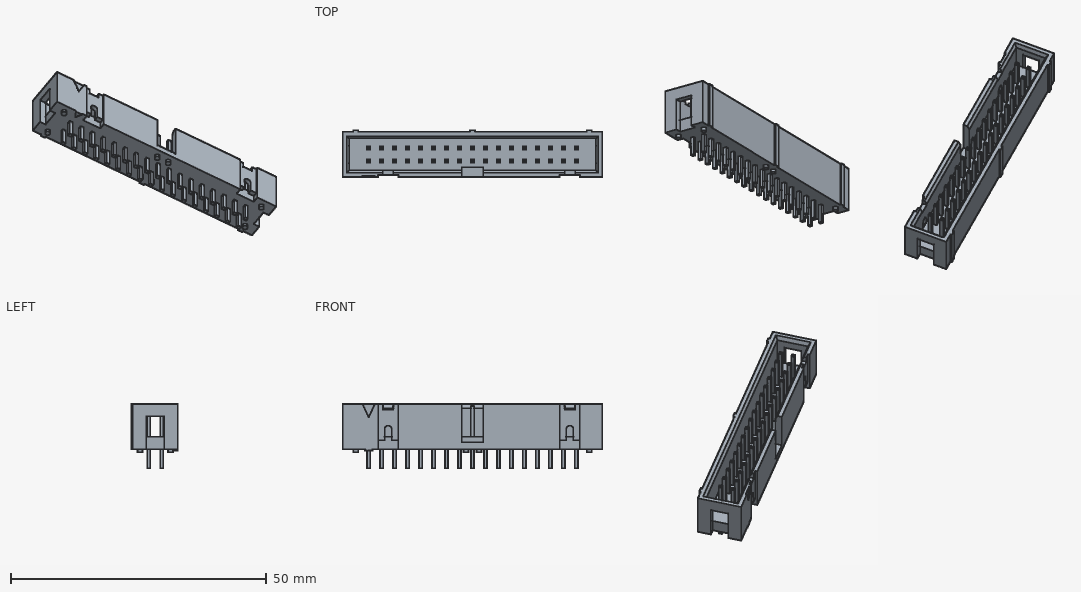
import cadquery as cq

housing_length = 50.8
housing_width = 8.9
housing_height = 8.9
half_length = housing_length / 2
half_width = housing_width / 2

end_wall = 1.25
side_wall = 1.3
floor_height = 2.5
mouth_lead_in = 0.45
mouth_depth = 0.8
cavity_length = housing_length - 2 * end_wall
cavity_width = housing_width - 2 * side_wall

pitch = 2.55
pins_per_row = 17
pin_size = 0.65
pin_top = 8.7
pin_bottom = -3.75
pin_tip_chamfer = 0.25
first_pin_x = -pitch * (pins_per_row - 1) / 2
last_pin_x = -first_pin_x

end_window_width = 3.5
end_window_top = 6.45

key_width = 4.15
key_floor = 1.4
key_depth = 1.95

recess_centers = (first_pin_x + 1.5 * pitch, last_pin_x - pitch / 2)
recess_width = 3.95
recess_depth = 0.4
latch_notch_width = 2.1
latch_notch_depth = 1.1
latch_foot_height = 1.75
arch_width = 1.4
arch_top = 4.6

rib_width = 1.0
rib_depth = 0.3
rib_centers = (first_pin_x - pitch, 0, last_pin_x + pitch)

peg_diameter = 1.0
peg_height = 0.6
peg_x = (first_pin_x - pitch, -pitch / 2, pitch / 2, last_pin_x + pitch)
peg_y = 3.0

front_mark_width = 2.45
front_mark_height = 2.65
front_mark_depth = 0.25
bottom_mark_width = 1.5
bottom_mark_length = 1.3
bottom_mark_height = 0.25


def block(x_range, y_range, z_range):
    """Box spanning the given (low, high) limits on each axis."""
    lows, highs = zip(x_range, y_range, z_range)
    sizes = [high - low for low, high in zip(lows, highs)]
    return cq.Workplane("XY").box(*sizes, centered=False).translate(lows)


def centered_span(center, width):
    return (center - width / 2, center + width / 2)


def make_shell():
    """Open box with a lead-in around the cavity mouth."""
    shell = block(
        (-half_length, half_length), (-half_width, half_width), (0, housing_height)
    )
    cavity = block(
        (-cavity_length / 2, cavity_length / 2),
        (-cavity_width / 2, cavity_width / 2),
        (floor_height, housing_height),
    )
    lead_in = (
        cq.Workplane("XY", origin=(0, 0, housing_height - mouth_depth))
        .rect(cavity_length, cavity_width)
        .workplane(offset=mouth_depth)
        .rect(cavity_length + 2 * mouth_lead_in, cavity_width + 2 * mouth_lead_in)
        .loft(ruled=True)
    )
    return shell.cut(cavity).cut(lead_in)


def end_window(side):
    """Opening through one end wall, open at the underside; side is -1 or 1."""
    x_range = sorted((side * half_length, side * (half_length - end_wall)))
    return block(x_range, centered_span(0, end_window_width), (0, end_window_top))


def key_slot():
    """Slot through the front wall that also dips into the cavity floor."""
    return block(
        centered_span(0, key_width),
        (-half_width, -half_width + key_depth),
        (key_floor, housing_height),
    )


def latch_recess(center):
    """Shallow front recess with a notch at the rim and an arched opening at the foot."""
    wall_range = (-half_width, -half_width + side_wall)
    recess = block(
        centered_span(center, recess_width),
        (-half_width, -half_width + recess_depth),
        (0, housing_height),
    )
    notch = block(
        centered_span(center, latch_notch_width),
        wall_range,
        (housing_height - latch_notch_depth, housing_height),
    )
    foot = block(centered_span(center, recess_width), wall_range, (0, latch_foot_height))
    arch_radius = arch_width / 2
    arch = (
        cq.Workplane("XZ", origin=(center, -half_width, 0))
        .moveTo(-arch_radius, 0)
        .lineTo(-arch_radius, arch_top - arch_radius)
        .threePointArc((0, arch_top), (arch_radius, arch_top - arch_radius))
        .lineTo(arch_radius, 0)
        .close()
        .extrude(-side_wall)
    )
    return recess.union(notch).union(foot).union(arch)


def front_mark():
    """Engraved triangle pointing down at pin 1."""
    return (
        cq.Workplane("XZ", origin=(first_pin_x, -half_width, housing_height))
        .polyline([
            (-front_mark_width / 2, 0),
            (front_mark_width / 2, 0),
            (0, -front_mark_height),
        ])
        .close()
        .extrude(-front_mark_depth)
    )


def bottom_mark():
    """Raised triangle under the front wall pointing inward at pin 1."""
    return (
        cq.Workplane("XY", origin=(first_pin_x, -half_width, 0))
        .polyline([
            (-bottom_mark_width / 2, 0),
            (bottom_mark_width / 2, 0),
            (0, bottom_mark_length),
        ])
        .close()
        .extrude(-bottom_mark_height)
    )


def back_rib(center):
    return block(
        centered_span(center, rib_width),
        (half_width, half_width + rib_depth),
        (0, housing_height),
    )


def pegs():
    return (
        cq.Workplane("XY")
        .pushPoints([(x, y) for x in peg_x for y in (-peg_y, peg_y)])
        .circle(peg_diameter / 2)
        .extrude(-peg_height)
    )


def pins():
    """Two rows of square pins with chamfered upper tips."""
    return (
        cq.Workplane("XY", origin=(0, 0, pin_bottom))
        .rarray(pitch, pitch, pins_per_row, 2)
        .rect(pin_size, pin_size)
        .extrude(pin_top - pin_bottom)
        .faces(">Z")
        .chamfer(pin_tip_chamfer)
    )


result = make_shell()
for side in (-1, 1):
    result = result.cut(end_window(side))
for center in recess_centers:
    result = result.cut(latch_recess(center))
result = result.cut(key_slot()).cut(front_mark())

for center in rib_centers:
    result = result.union(back_rib(center))
result = result.union(bottom_mark()).union(pegs()).union(pins())